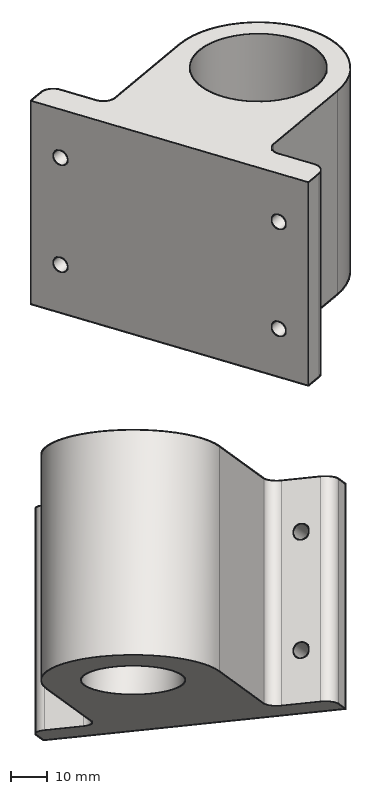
import cadquery as cq

plate_width = 88.4
plate_thickness = 9.5
height = 64.1
corner_radius = 3.8

housing_radius = 25.2
overall_depth = 72.8
bore_y = overall_depth - housing_radius

bore_diameter = 37.6
lip_diameter = 28.6
lip_thickness = 8.8

hole_diameter = 4.6
hole_spacing_x = 69.5
hole_spacing_z = 33.7


def make_body():
    """Extrude the plate and housing outline, including its rounded corners."""
    half_width = plate_width / 2
    outline = (
        cq.Workplane("XY")
        .moveTo(-half_width, 0)
        .lineTo(half_width, 0)
        .lineTo(half_width, plate_thickness)
        .lineTo(housing_radius, plate_thickness)
        .lineTo(housing_radius, bore_y)
        .threePointArc((0, overall_depth), (-housing_radius, bore_y))
        .lineTo(-housing_radius, plate_thickness)
        .lineTo(-half_width, plate_thickness)
        .close()
    )
    body = outline.extrude(height)
    corners = [
        (side * x, plate_thickness, height / 2)
        for side in (-1, 1)
        for x in (half_width, housing_radius)
    ]
    for corner in corners:
        body = body.edges(cq.selectors.NearestToPointSelector(corner)).fillet(corner_radius)
    return body


def make_bore():
    """Stepped cutter: narrow through the lip, wide above it."""
    opening = cq.Workplane("XY").center(0, bore_y).circle(lip_diameter / 2).extrude(height)
    seat = (
        cq.Workplane("XY", origin=(0, bore_y, lip_thickness))
        .circle(bore_diameter / 2)
        .extrude(height - lip_thickness)
    )
    return opening.union(seat)


def make_mounting_holes():
    """Four cutters through the plate, centred on its face."""
    return (
        cq.Workplane("XZ", origin=(0, 0, height / 2))
        .rarray(hole_spacing_x, hole_spacing_z, 2, 2)
        .circle(hole_diameter / 2)
        .extrude(-plate_thickness)
    )


result = make_body().cut(make_bore()).cut(make_mounting_holes())